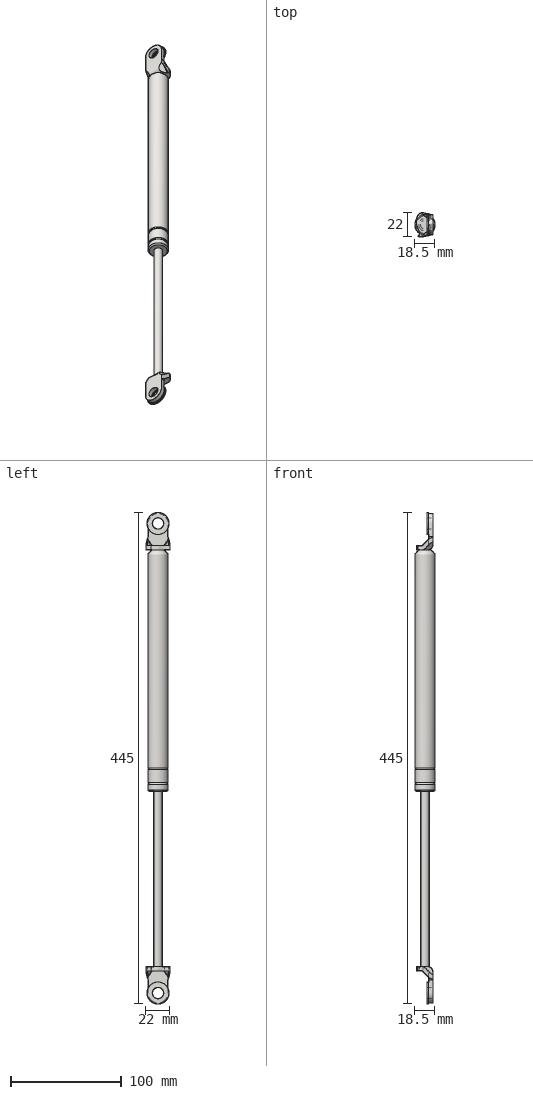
import cadquery as cq
import math

total_length = 445.0
tube_dia = 18.5
rod_dia = 8.0

eye_to_flange = 24.0
washer_dia = 20.0
washer_thickness = 1.5
eye_hole_dia = 10.0
plate_thickness = 4.0
strap_width = 18.0
strap_outer_x = 7.25
flange_width = 22.0
flange_edge_x = -7.5
flange_shoulder_x = -5.6
flange_shoulder_inset = 1.4
taper_start_x = -2.0
corner_radius = 5.0
inner_leg = 6.0
flare_top = 12.0
dish_width = 19.0

tube_length = 218.5
lower_chamfer = 1.25
upper_chamfer = 3.6
upper_shoulder_radius = 2.0
groove_radius = 0.8
groove_heights = (7.2, 20.6)

bracket_length = eye_to_flange + washer_dia / 2
inner_x = strap_outer_x - plate_thickness
outer_leg = inner_leg + plate_thickness * (2 - math.sqrt(2))
flare_bottom = plate_thickness + inner_leg / 2
upper_flange_z = total_length - bracket_length
tube_bottom = upper_flange_z - tube_length


def bent_plate():
    """L-shaped side profile with a round outer corner, extruded to the full flange width."""
    strap_top = eye_to_flange + strap_width / 2
    corner_x = strap_outer_x - corner_radius
    half_chord = corner_radius * math.sqrt(0.5)
    return (
        cq.Workplane("XZ")
        .moveTo(flange_edge_x, 0)
        .lineTo(corner_x, 0)
        .threePointArc((corner_x + half_chord, corner_radius - half_chord), (strap_outer_x, corner_radius))
        .lineTo(strap_outer_x, strap_top)
        .lineTo(inner_x, strap_top)
        .lineTo(inner_x, plate_thickness)
        .lineTo(flange_edge_x, plate_thickness)
        .close()
        .extrude(flange_width / 2, both=True)
    )


def corner_triangle(corner_x, corner_z, leg):
    """Full-width wedge that cuts across a corner at 45 degrees."""
    return (
        cq.Workplane("XZ")
        .polyline([(corner_x - leg, corner_z), (corner_x, corner_z), (corner_x, corner_z + leg)])
        .close()
        .extrude(flange_width / 2, both=True)
    )


def dish(corner_x, corner_z, leg):
    """Trough along the 45 degree slope: wide at the slope and narrowing at 45 degrees below it."""
    depth = leg * math.sqrt(0.5)
    slope = cq.Plane(origin=(corner_x - leg, 0, corner_z), xDir=(0, 1, 0), normal=(1, 0, 1))
    top = dish_width / 2
    bottom = top - depth
    return (
        cq.Workplane(slope)
        .polyline([(-top, 0), (top, 0), (bottom, -depth), (-bottom, -depth)])
        .close()
        .extrude(2 * depth)
    )


def stiffen_bend(plate):
    """Leave the plate edges crossing the bend at 45 degrees, with the L corner dished between them."""
    inner_corner = (inner_x, plate_thickness, inner_leg)
    outer_corner = (strap_outer_x, 0, outer_leg)
    ribs = corner_triangle(*inner_corner).cut(dish(*inner_corner))
    slopes = corner_triangle(*outer_corner).cut(dish(*outer_corner))
    return plate.union(ribs).cut(slopes)


def strap_outline():
    """Outline along X: wide flange, flare in to the strap, round end at the eye."""
    half_flange = flange_width / 2
    half_strap = strap_width / 2
    return (
        cq.Workplane("YZ")
        .moveTo(-half_flange, 0)
        .lineTo(half_flange, 0)
        .lineTo(half_flange, flare_bottom)
        .lineTo(half_strap, flare_top)
        .lineTo(half_strap, eye_to_flange)
        .threePointArc((0, eye_to_flange + half_strap), (-half_strap, eye_to_flange))
        .lineTo(-half_strap, flare_top)
        .lineTo(-half_flange, flare_bottom)
        .close()
        .extrude(tube_dia / 2, both=True)
    )


def flange_outline():
    """Outline along Z: one bowed curve on the -X side, sides tapering in to the strap on the +X side."""
    half_width = flange_width / 2
    half_strap = strap_width / 2
    bowed_edge = [
        (flange_shoulder_x, half_width - flange_shoulder_inset),
        (flange_edge_x, 0),
        (flange_shoulder_x, flange_shoulder_inset - half_width),
        (taper_start_x, -half_width),
    ]
    return (
        cq.Workplane("XY")
        .moveTo(strap_outer_x, -half_strap)
        .lineTo(strap_outer_x, half_strap)
        .lineTo(taper_start_x, half_width)
        .spline(bowed_edge, tangents=[(-1, 0), (1, 0)], includeCurrent=True)
        .close()
        .extrude(bracket_length)
    )


def make_bracket():
    """Bracket standing on z = 0 with its eye above."""
    eye_hole = (
        cq.Workplane("YZ")
        .center(0, eye_to_flange)
        .circle(eye_hole_dia / 2)
        .extrude(tube_dia / 2)
    )
    plate = stiffen_bend(bent_plate())
    return plate.intersect(strap_outline()).intersect(flange_outline()).cut(eye_hole)


def make_washer():
    """Washer lying against the -X face of the strap, around the eye."""
    return (
        cq.Workplane("YZ", origin=(inner_x, 0, eye_to_flange))
        .circle(washer_dia / 2)
        .circle(eye_hole_dia / 2)
        .extrude(-washer_thickness)
    )


def make_tube():
    """Pressure tube: chamfered ends, a rounded upper shoulder and two grooves near the lower end."""
    tube = (
        cq.Workplane("XY", origin=(0, 0, tube_bottom))
        .circle(tube_dia / 2)
        .extrude(tube_length)
        .faces(">Z")
        .edges()
        .chamfer(upper_chamfer)
        .faces("%CONE")
        .edges("<Z")
        .fillet(upper_shoulder_radius)
        .faces("<Z")
        .edges()
        .chamfer(lower_chamfer)
    )
    for height in groove_heights:
        ring = cq.Solid.makeTorus(tube_dia / 2, groove_radius, cq.Vector(0, 0, tube_bottom + height))
        tube = tube.cut(cq.Workplane(ring))
    return tube


def make_rod():
    """Piston rod between the lower flange and the tube."""
    return (
        cq.Workplane("XY", origin=(0, 0, bracket_length))
        .circle(rod_dia / 2)
        .extrude(tube_bottom - bracket_length)
    )


def at_upper_end(body):
    return body.translate((0, 0, upper_flange_z))


def at_lower_end(body):
    return body.mirror("XY").translate((0, 0, bracket_length))


tube = make_tube()
rod = make_rod()
end_fittings = []
for place in (at_upper_end, at_lower_end):
    end_fittings.append(place(make_bracket()).val())
    end_fittings.append(place(make_washer()).val())

result = cq.Compound.makeCompound([tube.val(), rod.val(), *end_fittings])